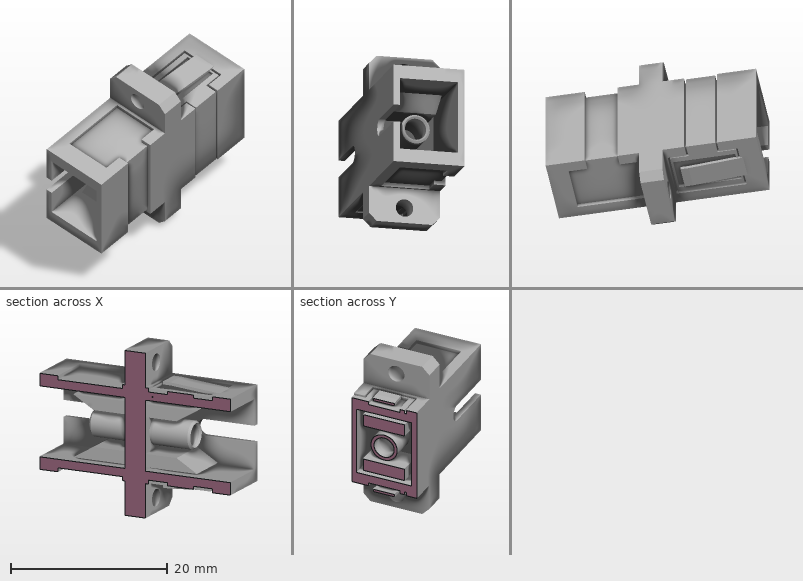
import cadquery as cq


LENGTH = 27.4
WIDTH = 9.4
BODY_HEIGHT = 12.83
FLANGE_HEIGHT = 21.98
FLANGE_THICKNESS = 3.05
FLANGE_CHAMFER = 1.01
FLANGE_HOLE_DIAMETER = 2.3
FLANGE_HOLE_SPACING = 18.0

CAVITY_WIDTH = 7.7
CAVITY_HEIGHT = 9.37
CAVITY_DEPTH = (LENGTH - FLANGE_THICKNESS) / 2
MID_WALL_FACE = FLANGE_THICKNESS / 2

KEYWAY_WIDTH = 2.25
KEYWAY_END = 5.55

SLEEVE_OUTER_RADIUS = 1.9
SLEEVE_BORE_RADIUS = 1.4
SLEEVE_RIM_RADIUS = 1.62
SLEEVE_BEVEL_LENGTH = 0.3
SLEEVE_TIP = 7.25

LATCH_WIDTH = 5.92
LATCH_INNER_Z = 2.45
LATCH_OUTER_Z = 4.2
LATCH_TIP = 8.88
LATCH_RAMP_END = 5.95

RECESS_DEPTH = 0.52
RECESS_WIDTH = 6.35
RECESS_LENGTH = 9.13
RECESS_BAND = 4.28
RECESS_CENTER = 6.47

CLIP_GAP = 0.25
CLIP_THICKNESS = 0.4
CLIP_WINDOW_WIDTH = 4.39
CLIP_WINDOW_LENGTH = 8.1

FINGER_WIDTH = 3.07
FINGER_RISE = 0.65
FINGER_ROOT_RISE = 0.05
FINGER_ROOT_Y = 11.43
FINGER_BEND_Y = 4.33
FINGER_TIP_Y = 3.3


def centered_box(x_size, y_size, z_size, center):
    return cq.Workplane("XY").box(x_size, y_size, z_size).translate(center)


def both_ends(shape):
    """The shape together with its mirror image across mid-length."""
    return shape.union(shape.mirror("XZ"))


def top_and_bottom(shape):
    """The shape together with its mirror image across the horizontal mid-plane."""
    return shape.union(shape.mirror("XY"))


def housing():
    body = centered_box(WIDTH, LENGTH, BODY_HEIGHT, (0, 0, 0))
    flange = centered_box(WIDTH, FLANGE_THICKNESS, FLANGE_HEIGHT, (0, 0, 0))
    flange = flange.edges("|Y").chamfer(FLANGE_CHAMFER)
    holes = (
        cq.Workplane("XZ")
        .rarray(0.27, FLANGE_HOLE_SPACING, 1, 2)
        .circle(FLANGE_HOLE_DIAMETER / 2)
        .extrude(FLANGE_THICKNESS, both=True)
    )
    return body.union(flange.cut(holes))


def cavity():
    center_y = (LENGTH - CAVITY_DEPTH) / 2
    return centered_box(CAVITY_WIDTH, CAVITY_DEPTH, CAVITY_HEIGHT, (0, center_y, 0))


def keyway():
    """Round-ended slot through the -X wall, open at the +Y end."""
    radius = KEYWAY_WIDTH / 2
    arc_center = KEYWAY_END + radius
    return (
        cq.Workplane("YZ", origin=(-WIDTH / 2, 0, 0))
        .moveTo(LENGTH / 2, radius)
        .lineTo(arc_center, radius)
        .threePointArc((KEYWAY_END, 0), (arc_center, -radius))
        .lineTo(LENGTH / 2, -radius)
        .close()
        .extrude((WIDTH - CAVITY_WIDTH) / 2)
    )


def sleeve():
    """Blind tube on the mid wall, bevelled to a sharp rim."""
    bevel_start = SLEEVE_TIP - SLEEVE_BEVEL_LENGTH
    return (
        cq.Workplane("XY")
        .polyline([
            (SLEEVE_BORE_RADIUS, MID_WALL_FACE),
            (SLEEVE_OUTER_RADIUS, MID_WALL_FACE),
            (SLEEVE_OUTER_RADIUS, bevel_start),
            (SLEEVE_RIM_RADIUS, SLEEVE_TIP),
            (SLEEVE_BORE_RADIUS, bevel_start),
        ])
        .close()
        .revolve(360, (0, 0, 0), (0, 1, 0))
    )


def latch_arm():
    """Upper arm on the mid wall with a ramped tip."""
    return (
        cq.Workplane("YZ")
        .polyline([
            (MID_WALL_FACE, LATCH_INNER_Z),
            (LATCH_RAMP_END, LATCH_INNER_Z),
            (LATCH_TIP, LATCH_OUTER_Z),
            (MID_WALL_FACE, LATCH_OUTER_Z),
        ])
        .close()
        .extrude(LATCH_WIDTH / 2, both=True)
    )


def clip_sheet(side_x, top_z, thickness, width, length, band):
    """C-shaped sheet at +Y: top and bottom panels joined by a band along the +X wall.

    side_x and top_z are the outer faces of the band and of the top panel.
    """
    panel_z = top_z - thickness / 2
    panel = centered_box(width, length, thickness, (0, RECESS_CENTER, panel_z))
    tab = centered_box(side_x, band, thickness, (side_x / 2, RECESS_CENTER, panel_z))
    side_center = (side_x - thickness / 2, RECESS_CENTER, 0)
    side = centered_box(thickness, band, 2 * top_z, side_center)
    return top_and_bottom(panel.union(tab)).union(side)


def clip_recess():
    return clip_sheet(
        WIDTH / 2, BODY_HEIGHT / 2, RECESS_DEPTH, RECESS_WIDTH, RECESS_LENGTH, RECESS_BAND
    )


def finger():
    """Bent spring strip whose root is sunk into the clip and the housing."""
    surface = BODY_HEIGHT / 2
    root_top = surface + FINGER_ROOT_RISE
    top = surface + FINGER_RISE
    return (
        cq.Workplane("YZ")
        .polyline([
            (FINGER_ROOT_Y, root_top),
            (FINGER_BEND_Y, top),
            (FINGER_TIP_Y, top),
            (FINGER_TIP_Y, top - CLIP_THICKNESS),
            (FINGER_BEND_Y, top - CLIP_THICKNESS),
            (FINGER_ROOT_Y, root_top - CLIP_THICKNESS),
        ])
        .close()
        .extrude(FINGER_WIDTH / 2, both=True)
    )


def clip():
    sink = RECESS_DEPTH - CLIP_THICKNESS
    sheet = clip_sheet(
        WIDTH / 2 - sink,
        BODY_HEIGHT / 2 - sink,
        CLIP_THICKNESS,
        RECESS_WIDTH - 2 * CLIP_GAP,
        RECESS_LENGTH - 2 * CLIP_GAP,
        RECESS_BAND - 2 * CLIP_GAP,
    )
    window_center = (0, RECESS_CENTER, BODY_HEIGHT / 2 - sink - CLIP_THICKNESS / 2)
    window = centered_box(CLIP_WINDOW_WIDTH, CLIP_WINDOW_LENGTH, CLIP_THICKNESS, window_center)
    return sheet.cut(top_and_bottom(window)).union(top_and_bottom(finger()))


hollows = both_ends(cavity().union(keyway()).union(clip_recess()))
inserts = both_ends(sleeve().union(top_and_bottom(latch_arm())))
result = housing().cut(hollows).union(inserts).union(clip())